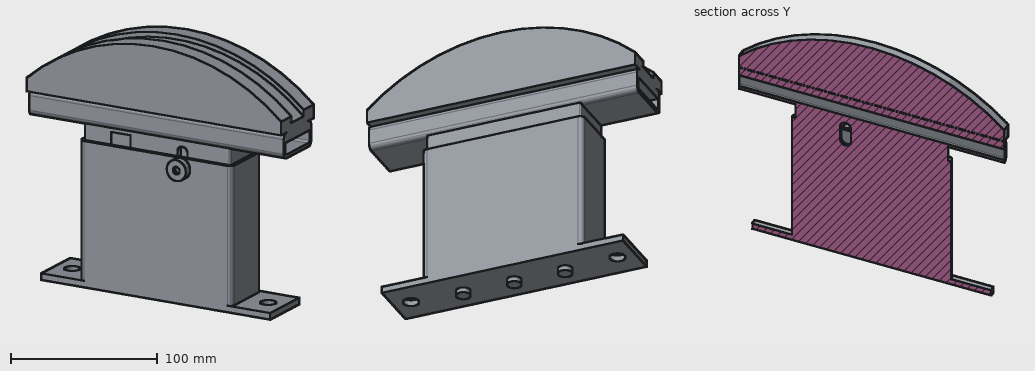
import cadquery as cq
import math

PLATE_LENGTH = 180.0
PLATE_THICKNESS = 4.8
PLATE_HOLE_DIAMETER = 11.0
PLATE_HOLE_SPACING = 154.0
PIN_DIAMETER = 10.0
PIN_HEIGHT = 3.8
PIN_SPACING = 38.0

SLEEVE_LENGTH = 120.0
SLEEVE_DEPTH = 40.0
SLEEVE_HEIGHT = 100.0
SLEEVE_CORNER_RADIUS = 3.5
SLEEVE_WALL = 2.5
BOX_EXPOSED_HEIGHT = 11.0
BOX_SEAT = 1.5
BOX_CORNER_RADIUS = SLEEVE_CORNER_RADIUS - SLEEVE_WALL

WINDOW_WIDTH = 15.0
WINDOW_HEIGHT = 9.0
WINDOW_DEPTH = 0.1
WINDOW_X = -28.8
SLOT_WIDTH = 8.0
SLOT_HEIGHT = 7.2
SLOT_DEPTH = 5.0

SCREW_X = 19.5
SCREW_DIAMETER = 15.0
SCREW_HEAD_HEIGHT = 6.0
SOCKET_DIAMETER = 5.2
SOCKET_DEPTH = 3.0

RAIL_LENGTH = 200.0
RAIL_WIDTH = 38.0
RAIL_HEIGHT = 18.5
RAIL_WALL = 2.5
RAIL_BEND_RADIUS = 4.0
RAIL_OPENING = 22.0

SHOE_DEPTH = 44.8
SHOE_END_HEIGHT = 9.8
CROWN_RADIUS = 150.0
GROOVE_WIDTH = 16.8
GROOVE_DEPTH = 3.5
TONGUE_HEIGHT = 7.0

plate_bottom = PIN_HEIGHT
plate_top = plate_bottom + PLATE_THICKNESS
sleeve_top = plate_top + SLEEVE_HEIGHT
rail_bottom = sleeve_top + BOX_EXPOSED_HEIGHT
rail_top = rail_bottom + RAIL_HEIGHT
shoe_end_top = rail_top + SHOE_END_HEIGHT
crown_center = shoe_end_top - math.sqrt(CROWN_RADIUS**2 - (RAIL_LENGTH / 2) ** 2)

box_length = SLEEVE_LENGTH - 2 * SLEEVE_WALL
box_depth = SLEEVE_DEPTH - 2 * SLEEVE_WALL
sleeve_front = -SLEEVE_DEPTH / 2
box_front = -box_depth / 2
screw_z = sleeve_top - SCREW_DIAMETER / 2


def block(length, depth, bottom, top):
    """Box centred on the vertical axis between two levels."""
    base = cq.Workplane("XY").workplane(offset=bottom)
    return base.rect(length, depth).extrude(top - bottom)


def front_plane(y):
    """Sketch plane facing forward (-Y), with X to the right and Z up."""
    return cq.Workplane("XZ", origin=(0, y, 0))


def mounting_plate():
    plate = block(PLATE_LENGTH, SLEEVE_DEPTH, plate_bottom, plate_top)
    hole_points = [(side * PLATE_HOLE_SPACING / 2, 0) for side in (-1, 1)]
    plate = plate.faces(">Z").workplane().pushPoints(hole_points).hole(PLATE_HOLE_DIAMETER)
    pin_points = [(i * PIN_SPACING, 0) for i in (-1, 0, 1)]
    pins = cq.Workplane("XY").pushPoints(pin_points).circle(PIN_DIAMETER / 2).extrude(plate_bottom)
    return plate.union(pins)


def sleeve():
    body = block(SLEEVE_LENGTH, SLEEVE_DEPTH, plate_top, sleeve_top)
    return body.edges("|Z").fillet(SLEEVE_CORNER_RADIUS)


def sliding_box():
    body = block(box_length, box_depth, sleeve_top, rail_bottom + BOX_SEAT)
    body = body.edges("|Z").fillet(BOX_CORNER_RADIUS)
    window = (
        front_plane(box_front)
        .center(WINDOW_X, sleeve_top + WINDOW_HEIGHT / 2)
        .rect(WINDOW_WIDTH, WINDOW_HEIGHT)
        .extrude(-WINDOW_DEPTH)
    )
    return body.cut(window)


def screw_slot():
    """Round-ended pocket in the box front, running down behind the sleeve wall to the screw."""
    slot_radius = SLOT_WIDTH / 2
    slot_bottom = screw_z - slot_radius
    slot_length = sleeve_top + SLOT_HEIGHT - slot_bottom
    return (
        front_plane(box_front)
        .center(SCREW_X, slot_bottom + slot_length / 2)
        .slot2D(slot_length, SLOT_WIDTH, 90)
        .extrude(-SLOT_DEPTH)
    )


def clamping_screw():
    head_front = sleeve_front - SCREW_HEAD_HEIGHT
    head = (
        front_plane(sleeve_front)
        .center(SCREW_X, screw_z)
        .circle(SCREW_DIAMETER / 2)
        .extrude(SCREW_HEAD_HEIGHT)
    )
    socket = (
        front_plane(head_front)
        .center(SCREW_X, screw_z)
        .circle(SOCKET_DIAMETER / 2)
        .extrude(-SOCKET_DEPTH)
    )
    return head.cut(socket)


def rail():
    """Bent channel, open at both ends and along the middle of its top."""
    inner_width = RAIL_WIDTH - 2 * RAIL_WALL
    outer = block(RAIL_LENGTH, RAIL_WIDTH, rail_bottom, rail_top)
    outer = outer.edges("|X").fillet(RAIL_BEND_RADIUS)
    inner = block(RAIL_LENGTH, inner_width, rail_bottom + RAIL_WALL, rail_top - RAIL_WALL)
    inner = inner.edges("|X and <Z").fillet(RAIL_BEND_RADIUS - RAIL_WALL)
    opening = block(RAIL_LENGTH, RAIL_OPENING, rail_top - RAIL_WALL, rail_top)
    return outer.cut(inner).cut(opening)


def crown_segment(radius, y_front, depth):
    """Slab below the crown arc of the given radius, standing on the rail top."""
    half_length = RAIL_LENGTH / 2
    end_z = crown_center + math.sqrt(radius**2 - half_length**2)
    return (
        front_plane(y_front)
        .moveTo(-half_length, rail_top)
        .lineTo(-half_length, end_z)
        .threePointArc((0, crown_center + radius), (half_length, end_z))
        .lineTo(half_length, rail_top)
        .close()
        .extrude(-depth)
    )


def shoe():
    land_width = (SHOE_DEPTH - GROOVE_WIDTH) / 2
    body = crown_segment(CROWN_RADIUS - GROOVE_DEPTH, -SHOE_DEPTH / 2, SHOE_DEPTH)
    for land_front in (-SHOE_DEPTH / 2, GROOVE_WIDTH / 2):
        body = body.union(crown_segment(CROWN_RADIUS, land_front, land_width))
    neck = block(RAIL_LENGTH, RAIL_OPENING, rail_top - RAIL_WALL, rail_top)
    tongue = block(
        RAIL_LENGTH, RAIL_WIDTH - 2 * RAIL_WALL, rail_top - TONGUE_HEIGHT, rail_top - RAIL_WALL
    )
    return body.union(neck).union(tongue)


result = (
    mounting_plate()
    .union(sleeve())
    .union(sliding_box())
    .cut(screw_slot())
    .union(clamping_screw())
    .union(rail())
    .union(shoe())
)